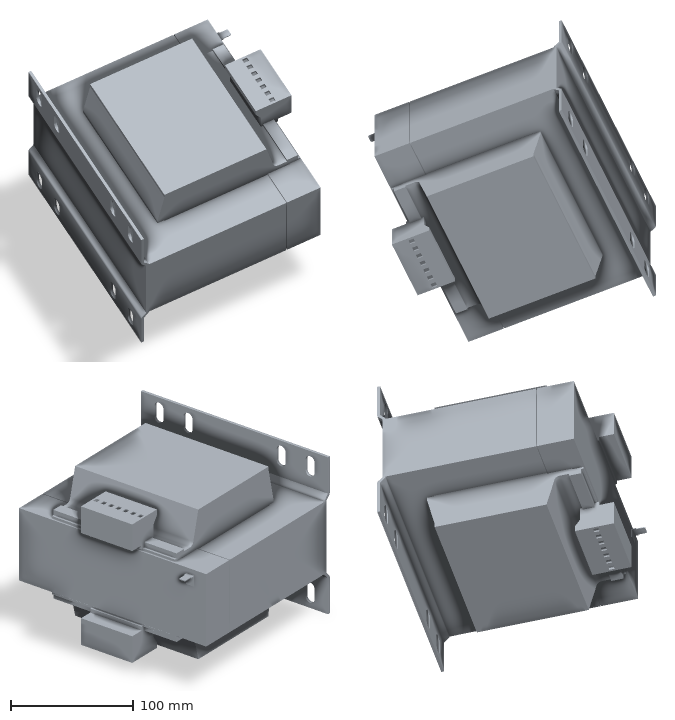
import cadquery as cq

core_width = 192.0
core_height = 66.8
yoke = core_width / 6
window_length = core_width / 2
core_front = 7.1
seam_front = core_front + yoke + window_length
core_back = seam_front + yoke
core_top = core_height / 2
groove_width = 0.8
groove_depth = 1.0

bracket_height = 145.0
sheet = 2.5
joggle = core_front - sheet
bend_radius = 2.9
bend_shift = 1.0
slot_width = 9.2
slot_length = 18.6
slot_height = 58.4
slot_positions = (-77.5, -47.8, 47.8, 77.5)

cover_width = 2 * (core_width / 2 - yoke - groove_width)
cover_top = 69.1
cover_front = 33.0
cover_top_front = 39.5
cover_top_back = 134.5
cover_back_foot = 142.3
front_foot_height = 36.0
front_brow_height = 65.5
ledge_height = 38.8
ledge_radius = 4.5

rail_height = 40.9
rail_front = 153.8
rail_back = 164.0
lip_height = 36.0
lip_back = 166.0
relief_front = 156.0
relief_height = 0.8

block_width = 52.6
pole_count = 7
block_left = -30.1
pole_pitch = block_width / pole_count
block_back = 180.3
block_front = 147.0
block_top = 64.0
block_nose_height = 58.5
block_waist_height = 51.6
block_waist = 151.7
block_underside = 39.4
block_foot_back = 167.8
block_foot_height = 35.5
pocket_width = 3.6
pocket_length = 4.6
pocket_depth = 2.0
pocket_center = 164.2

tab_center = -79.9
tab_sheet = 0.8
tab_top = 28.0
tab_plate_height = 9.6
tab_base_width = 7.9
tab_base_end = 170.9
tab_blade_width = 6.3
tab_blade_end = 178.5
tab_chamfer = 0.8


def prism(points, x_start, x_end):
    """Solid with a closed (Y, Z) outline, running along X."""
    outline = cq.Workplane("YZ").workplane(offset=x_start).polyline(points).close()
    return outline.extrude(x_end - x_start)


def box(x_range, y_range, z_range):
    """Axis-aligned box between the given limits."""
    sizes = [end - start for start, end in (x_range, y_range, z_range)]
    corner = (x_range[0], y_range[0], z_range[0])
    return cq.Workplane("XY").box(*sizes, centered=False).translate(corner)


def both_sides(upper):
    """The shape together with its mirror image below the core."""
    return upper.union(upper.mirror("XY"))


def make_core():
    half = core_width / 2
    window_edge = half - yoke
    core = box((-half, half), (core_front, core_back), (-core_top, core_top))
    seam_block = box((-half, half), (seam_front, seam_front + groove_width), (-core_top, core_top))
    seam_core = box(
        (groove_depth - half, half - groove_depth),
        (seam_front, seam_front + groove_width),
        (groove_depth - core_top, core_top - groove_depth),
    )
    core = core.cut(seam_block.cut(seam_core))
    for groove_left in (-window_edge, window_edge - groove_width):
        clearance = box(
            (groove_left, groove_left + groove_width),
            (core_front + yoke, seam_front),
            (core_top - groove_depth, core_top),
        )
        core = core.cut(both_sides(clearance))
    return core


def make_bracket():
    half = core_width / 2
    flange_end = bracket_height / 2
    bend_start = core_top
    bend_end = bend_start + joggle
    upper = prism(
        [
            (joggle, 0),
            (joggle, bend_start),
            (0, bend_end),
            (0, flange_end),
            (sheet, flange_end),
            (sheet, bend_end + bend_shift),
            (core_front, bend_start + bend_shift),
            (core_front, 0),
        ],
        -half,
        half,
    )
    for bend_y, bend_z in ((0, bend_end), (core_front, bend_start + bend_shift)):
        outer_bend = cq.selectors.NearestToPointSelector((0, bend_y, bend_z))
        upper = upper.edges(outer_bend).fillet(bend_radius)
    slots = (
        cq.Workplane("XZ")
        .pushPoints([(x, slot_height) for x in slot_positions])
        .slot2D(slot_length, slot_width, 90)
        .extrude(-sheet)
    )
    return both_sides(upper.cut(slots))


def make_cover():
    half = cover_width / 2
    body = prism(
        [
            (cover_front, core_top),
            (cover_front, front_foot_height),
            (cover_top_front, front_brow_height),
            (cover_top_front, cover_top),
            (cover_top_back, cover_top),
            (cover_back_foot, ledge_height),
            (rail_front, ledge_height),
            (rail_front, rail_height),
            (rail_back, rail_height),
            (rail_back, lip_height),
            (lip_back, lip_height),
            (lip_back, core_top + relief_height),
            (relief_front, core_top + relief_height),
            (relief_front, core_top),
        ],
        -half,
        half,
    )
    foot_edge = cq.selectors.NearestToPointSelector((0, cover_back_foot, ledge_height))
    return body.edges(foot_edge).fillet(ledge_radius)


def make_terminal_block():
    block = prism(
        [
            (block_back, block_top),
            (block_front, block_top),
            (block_front, block_nose_height),
            (block_waist, block_waist_height),
            (block_waist, ledge_height),
            (rail_front, ledge_height),
            (rail_front, rail_height),
            (rail_back, rail_height),
            (rail_back, block_foot_height),
            (block_foot_back, block_foot_height),
            (block_foot_back, block_underside),
            (block_back, block_underside),
        ],
        block_left,
        block_left + block_width,
    )
    first_pole = block_left + pole_pitch / 2
    pockets = (
        cq.Workplane("XY")
        .workplane(offset=block_top)
        .pushPoints([(first_pole + i * pole_pitch, pocket_center) for i in range(pole_count)])
        .rect(pocket_width, pocket_length)
        .extrude(-pocket_depth)
    )
    return block.cut(pockets)


def make_earth_tab():
    base_half = tab_base_width / 2
    blade_half = tab_blade_width / 2
    base_x = (tab_center - base_half, tab_center + base_half)
    blade_x = (tab_center - blade_half, tab_center + blade_half)
    blade_z = (tab_top - tab_sheet, tab_top)
    plate = box(base_x, (core_back, core_back + tab_sheet), (tab_top - tab_plate_height, tab_top))
    base = box(base_x, (core_back, tab_base_end), blade_z)
    blade = box(blade_x, (core_back, tab_blade_end), blade_z)
    blade = blade.edges("|Z and >Y").chamfer(tab_chamfer)
    return plate.union(base).union(blade)


result = (
    make_core()
    .union(make_bracket())
    .union(both_sides(make_cover().union(make_terminal_block())))
    .union(make_earth_tab())
)